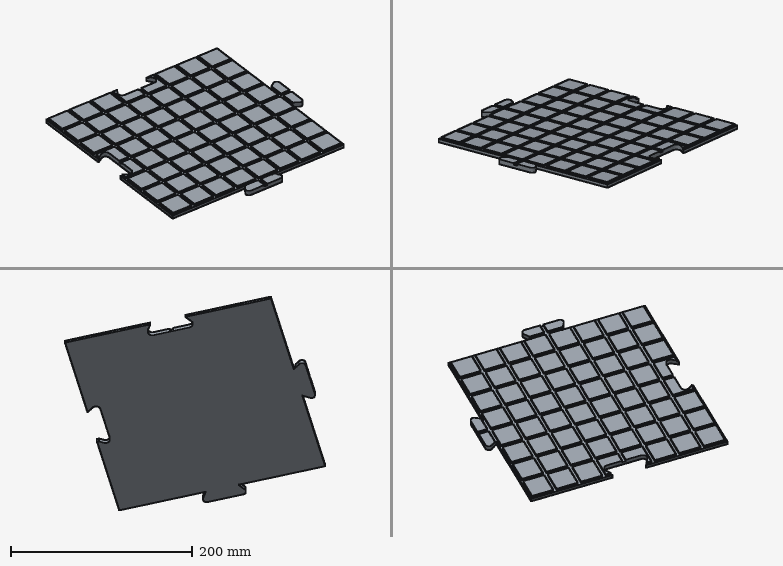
import cadquery as cq
import math

overall_size = 249.2
tab_depth = 14.0
plate_size = overall_size - tab_depth
total_height = 6.0
base_height = 4.0

pads_per_side = 8
groove_width = 4.0
edge_margin = groove_width / 2
pad_pitch = plate_size / pads_per_side
pad_size = pad_pitch - groove_width

tab_neck_width = 37.5
tab_tip_width = 55.8
tab_corner_radius = 4.0
socket_clearance = 1.0

plate_half = plate_size / 2


def dovetail(clearance, height):
    """Dovetail pointing to +Y with its neck on the X axis, rounded at the tip and grown by the clearance."""
    flare = (tab_tip_width - tab_neck_width) / 2 / tab_depth
    side_shift = clearance * math.hypot(1, flare)
    tip_y = tab_depth + clearance
    neck_half = tab_neck_width / 2 + side_shift
    tip_half = neck_half + flare * tip_y
    return (
        cq.Workplane("XY")
        .polyline([(-neck_half, 0), (neck_half, 0), (tip_half, tip_y), (-tip_half, tip_y)])
        .close()
        .extrude(height)
        .edges("|Z and >Y")
        .fillet(tab_corner_radius + clearance)
    )


def make_plate():
    """Square base with its grid of raised pads."""
    base = cq.Workplane("XY").box(plate_size, plate_size, base_height, centered=(True, True, False))
    pads = (
        cq.Workplane("XY")
        .rarray(pad_pitch, pad_pitch, pads_per_side, pads_per_side)
        .rect(pad_size, pad_size)
        .extrude(total_height)
    )
    return base.union(pads)


def make_tab():
    """Full-height tab with the edge groove and the middle groove of the grid carried across it."""
    groove_depth = total_height - base_height
    edge_groove = (
        cq.Workplane("XY")
        .box(tab_tip_width, 2 * edge_margin, groove_depth, centered=(True, True, False))
    )
    middle_groove = (
        cq.Workplane("XY")
        .box(groove_width, 2 * tab_depth, groove_depth, centered=(True, True, False))
    )
    grooves = edge_groove.union(middle_groove).translate((0, 0, base_height))
    return dovetail(0, total_height).cut(grooves).translate((0, plate_half, 0))


def make_socket():
    """Cutter for the socket that receives a neighbour's tab on the -Y side."""
    return dovetail(socket_clearance, total_height).translate((0, -plate_half, 0))


def turned(body, angle):
    return body.rotate((0, 0, 0), (0, 0, 1), angle)


result = make_plate()
for turn in (0, -90):
    result = result.union(turned(make_tab(), turn)).cut(turned(make_socket(), turn))